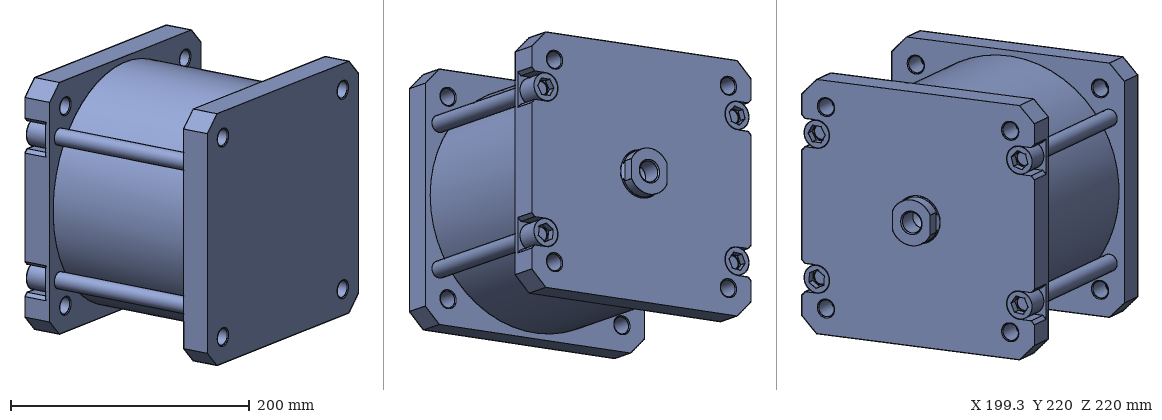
import cadquery as cq
import math


CAP_SIZE = 220.0
CAP_CORNER = 14.0
FRONT_CAP_LENGTH = 25.5
REAR_CAP_LENGTH = 24.5
MOUNT_HOLE_SPACING = 174.2
MOUNT_HOLE_DIAMETER = 14.5
MOUNT_HOLE_CHAMFER = 0.9

BARREL_DIAMETER = 210.0
BARREL_LENGTH = 137.3

BOLT_SPACING_Y = 191.8
BOLT_SPACING_Z = 125.5
SHANK_DIAMETER = 14.7
HEAD_DIAMETER = 23.8
THREAD_DEPTH = 14.5
SOCKET_FLATS = 14.0
SOCKET_DEPTH = 7.0
SOCKET_RELIEF_DIAMETER = 12.5
SOCKET_RELIEF_DEPTH = 1.0

POCKET_WIDTH = 24.5
POCKET_DEPTH = 21.3
POCKET_MOUTH_CHAMFER = 3.0

ROD_DIAMETER = 41.4
ROD_NOSE_DIAMETER = 39.5
ROD_PROTRUSION = 12.0
ROD_FLATS = 35.6
ROD_FLAT_RUNOUT = 1.8
ROD_HOLE_DIAMETER = 18.0
ROD_HOLE_CHAMFER = 1.0
ROD_HOLE_DEPTH = 19.8
DRILL_POINT_ANGLE = 118.0

BARREL_START = FRONT_CAP_LENGTH
REAR_CAP_START = BARREL_START + BARREL_LENGTH
SHANK_END = REAR_CAP_START + THREAD_DEPTH

BOLTS = [
    (BOLT_SPACING_Y / 2, BOLT_SPACING_Z / 2, 0.0),
    (-BOLT_SPACING_Y / 2, BOLT_SPACING_Z / 2, 14.0),
    (-BOLT_SPACING_Y / 2, -BOLT_SPACING_Z / 2, 6.0),
    (BOLT_SPACING_Y / 2, -BOLT_SPACING_Z / 2, 34.0),
]


def section_plane(x, y=0.0, z=0.0):
    """Plane across the axis: local x is +Y, local y is +Z and extrusion runs toward +X."""
    return cq.Workplane(cq.Plane(origin=(x, y, z), xDir=(0, 1, 0), normal=(1, 0, 0)))


def rod_along_x(diameter, start, end, y=0.0, z=0.0):
    return section_plane(start, y, z).circle(diameter / 2).extrude(end - start)


def make_cap(start, length):
    """Square plate with cut corners and four chamfered mounting holes."""
    plate = section_plane(start).rect(CAP_SIZE, CAP_SIZE).extrude(length)
    plate = plate.edges("|X").chamfer(CAP_CORNER)
    holes = (
        section_plane(start)
        .rect(MOUNT_HOLE_SPACING, MOUNT_HOLE_SPACING, forConstruction=True)
        .vertices()
        .circle(MOUNT_HOLE_DIAMETER / 2)
        .extrude(length)
    )
    plate = plate.cut(holes)
    return plate.edges("%CIRCLE").chamfer(MOUNT_HOLE_CHAMFER)


def make_head_pocket(y, z):
    """U-shaped pocket around a bolt head, open to the nearest side with a chamfered mouth."""
    side = math.copysign(1, y)
    edge = side * CAP_SIZE / 2 - y
    half = POCKET_WIDTH / 2
    mouth_start = edge - side * POCKET_MOUTH_CHAMFER
    mouth_half = half + POCKET_MOUTH_CHAMFER
    return (
        section_plane(0, y, z)
        .moveTo(0, half)
        .lineTo(mouth_start, half)
        .lineTo(edge, mouth_half)
        .lineTo(edge, -mouth_half)
        .lineTo(mouth_start, -half)
        .lineTo(0, -half)
        .threePointArc((-side * half, 0), (0, half))
        .close()
        .extrude(POCKET_DEPTH)
    )


def make_front_cap():
    cap = make_cap(0, FRONT_CAP_LENGTH)
    cap = cap.cut(rod_along_x(ROD_DIAMETER, 0, FRONT_CAP_LENGTH))
    for y, z, _ in BOLTS:
        cap = cap.cut(make_head_pocket(y, z))
        cap = cap.cut(rod_along_x(SHANK_DIAMETER, 0, FRONT_CAP_LENGTH, y, z))
    return cap


def make_rear_cap():
    cap = make_cap(REAR_CAP_START, REAR_CAP_LENGTH)
    for y, z, _ in BOLTS:
        cap = cap.cut(rod_along_x(SHANK_DIAMETER, REAR_CAP_START, SHANK_END, y, z))
    return cap


def make_barrel():
    return rod_along_x(BARREL_DIAMETER, BARREL_START, REAR_CAP_START)


def make_bolt(y, z, turn):
    """Cap screw with a hexagon socket and a round relief in the socket floor."""
    head = rod_along_x(HEAD_DIAMETER, 0, POCKET_DEPTH, y, z)
    shank = rod_along_x(SHANK_DIAMETER, POCKET_DEPTH, SHANK_END, y, z)
    corner_diameter = SOCKET_FLATS / math.cos(math.radians(30))
    socket = section_plane(0, y, z).polygon(6, corner_diameter).extrude(SOCKET_DEPTH)
    socket = socket.rotate((0, y, z), (1, y, z), turn)
    relief_end = SOCKET_DEPTH + SOCKET_RELIEF_DEPTH
    relief = rod_along_x(SOCKET_RELIEF_DIAMETER, 0, relief_end, y, z)
    return head.union(shank).cut(socket).cut(relief)


def make_flat_cutter(side):
    """Material removed beside one wrench flat, ending in a 45 degree ramp."""
    flat = ROD_FLATS / 2
    ramp = ROD_DIAMETER / 2
    flat_end = -ROD_FLAT_RUNOUT
    return (
        cq.Workplane("XY")
        .polyline(
            [
                (-ROD_PROTRUSION, side * flat),
                (flat_end, side * flat),
                (flat_end + ramp, side * (flat + ramp)),
                (-ROD_PROTRUSION, side * (flat + ramp)),
            ]
        )
        .close()
        .extrude(ROD_DIAMETER / 2, both=True)
    )


def make_piston_rod():
    """Rod with a slimmer nose, two wrench flats and a drilled hole in its end."""
    radius = ROD_DIAMETER / 2
    nose_radius = ROD_NOSE_DIAMETER / 2
    hole_radius = ROD_HOLE_DIAMETER / 2
    hole_end = ROD_HOLE_DEPTH - ROD_PROTRUSION
    point_length = hole_radius / math.tan(math.radians(DRILL_POINT_ANGLE / 2))
    rod = (
        cq.Workplane("XY")
        .polyline(
            [
                (-ROD_PROTRUSION + ROD_HOLE_CHAMFER, hole_radius),
                (-ROD_PROTRUSION, hole_radius + ROD_HOLE_CHAMFER),
                (-ROD_PROTRUSION, nose_radius),
                (nose_radius - radius, nose_radius),
                (0, radius),
                (FRONT_CAP_LENGTH, radius),
                (FRONT_CAP_LENGTH, 0),
                (hole_end + point_length, 0),
                (hole_end, hole_radius),
            ]
        )
        .close()
        .revolve(360, (0, 0, 0), (1, 0, 0))
    )
    for side in (1, -1):
        rod = rod.cut(make_flat_cutter(side))
    return rod


front_cap = make_front_cap()
rear_cap = make_rear_cap()
barrel = make_barrel()
piston_rod = make_piston_rod()
bolts = [make_bolt(y, z, turn) for y, z, turn in BOLTS]

result = cq.Compound.makeCompound(
    [front_cap.val(), rear_cap.val(), barrel.val(), piston_rod.val(), *[bolt.val() for bolt in bolts]]
)